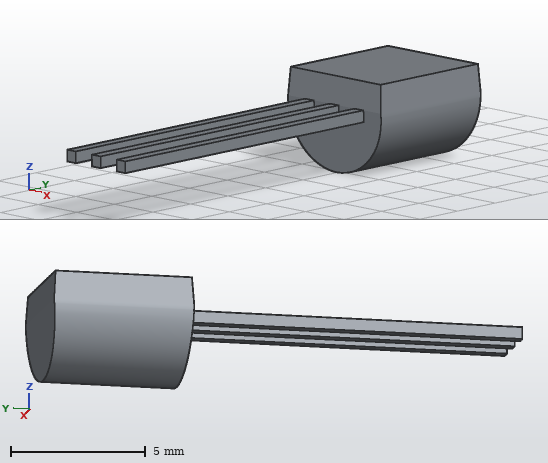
import cadquery as cq
import math

body_width = 4.81
body_length = 5.34
total_length = 18.03
upper_height = 1.08
lower_depth = 2.6
upper_inset = 0.07
end_inset = 0.13

lead_size = 0.45
lead_pitch = 1.28
lead_offsets = (-lead_pitch, 0, lead_pitch)

body_radius = body_width / 2
axis_depth = lower_depth - body_radius
parting_half_width = math.sqrt(body_radius**2 - axis_depth**2)


def make_upper_half():
    """Flat-topped block whose four walls lean in towards the top."""
    return (
        cq.Workplane("XY")
        .center(0, -body_length / 2)
        .rect(2 * parting_half_width, body_length)
        .workplane(offset=upper_height)
        .rect(2 * (parting_half_width - upper_inset), body_length - 2 * upper_inset)
        .loft(ruled=True)
    )


def make_lower_half():
    """Barrel along Y, flat at the parting plane, with end walls leaning in towards the bottom."""
    barrel = (
        cq.Workplane("XZ")
        .moveTo(-parting_half_width, 0)
        .threePointArc((0, -lower_depth), (parting_half_width, 0))
        .close()
        .extrude(body_length)
    )
    end_walls = (
        cq.Workplane("YZ")
        .polyline([
            (0, 0),
            (-end_inset, -lower_depth),
            (-body_length + end_inset, -lower_depth),
            (-body_length, 0),
        ])
        .close()
        .extrude(body_radius, both=True)
    )
    return barrel.intersect(end_walls)


def make_lead(x_offset, body):
    """Square lead just below the parting plane, ending flush against the leaning front wall."""
    blank_start = -body_length / 2
    blank = cq.Workplane("XY").box(
        lead_size, total_length + blank_start, lead_size, centered=(True, False, False)
    )
    return blank.translate((x_offset, -total_length, -lead_size)).cut(body)


body = make_upper_half().union(make_lower_half())
leads = [make_lead(x_offset, body) for x_offset in lead_offsets]

result = cq.Compound.makeCompound([body.val(), *[lead.val() for lead in leads]])